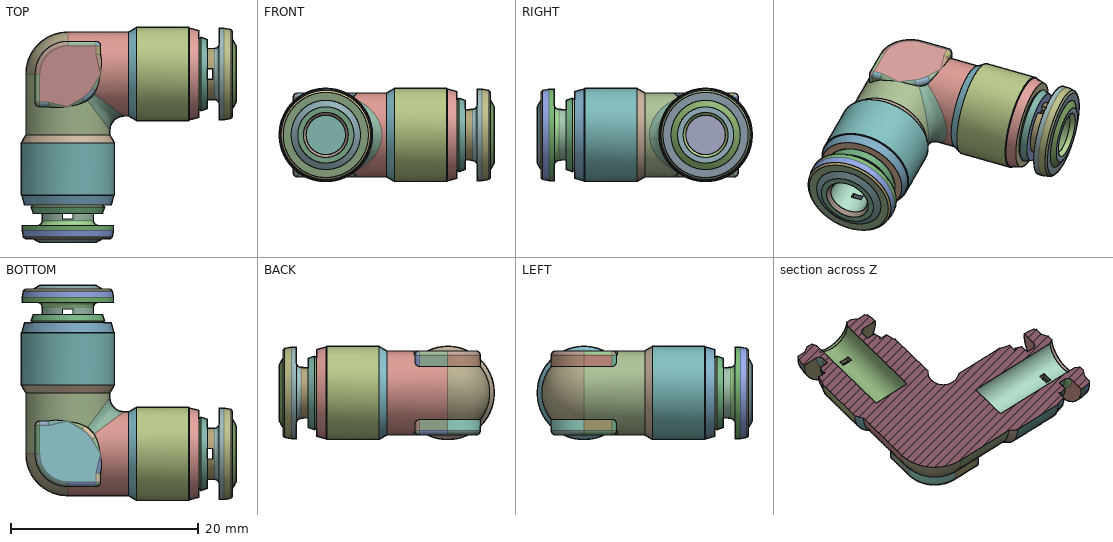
import cadquery as cq
import math

tube_radius = 4.5
inner_fillet = 1.5

sleeve_radius = 5.0
sleeve_cone_start = 6.5
sleeve_start = 7.35
sleeve_end = 12.9
sleeve_lip = 0.08
cap_end = 14.0
cap_end_radius = 4.65

collar_root_radius = 3.75
collar_radius = 3.95
collar_start = 14.2
collar_end = 14.9
collar_end_radius = 3.7

neck_radius = 2.75
neck_fillet = 0.5
flange_start = 16.15
flange_radius = 4.9
flange_taper_start = 16.7
flange_taper_end = 17.4
flange_taper_radius = 4.77
flange_end = 17.6
flange_face_radius = 4.55
nose_root_radius = 3.7
nose_radius = 3.0
port_end = 18.0

bore_radius = 2.1
bore_mouth_radius = 2.4
bore_mouth_depth = 0.5
bore_bottom = sleeve_start
slot_width = 1.1
slot_length = 0.55

pad_half = 3.5
pad_edge_fillet = 0.5


def make_port():
    """Solid of revolution about X, from the elbow centre to the release ring."""
    profile = (
        cq.Workplane("XY")
        .moveTo(0, 0)
        .lineTo(0, tube_radius)
        .lineTo(sleeve_cone_start, tube_radius)
        .lineTo(sleeve_start, sleeve_radius)
        .lineTo(sleeve_end, sleeve_radius)
        .lineTo(sleeve_end + sleeve_lip, sleeve_radius - sleeve_lip)
        .lineTo(cap_end, cap_end_radius)
        .lineTo(cap_end, collar_root_radius)
        .lineTo(collar_start, collar_radius)
        .lineTo(collar_end, collar_end_radius)
        .lineTo(collar_end, neck_radius)
        .lineTo(flange_start - neck_fillet, neck_radius)
        .radiusArc((flange_start, neck_radius + neck_fillet), -neck_fillet)
        .lineTo(flange_start, flange_radius)
        .lineTo(flange_taper_start, flange_radius)
        .lineTo(flange_taper_end, flange_taper_radius)
        .lineTo(flange_end, flange_face_radius)
        .lineTo(flange_end, nose_root_radius)
        .lineTo(port_end, nose_radius)
        .lineTo(port_end, 0)
        .close()
    )
    return profile.revolve(360, (0, 0, 0), (1, 0, 0))


def make_port_cut():
    """Blind bore with a chamfered mouth, and a slot through the top and bottom of the neck."""
    bore = (
        cq.Workplane("XY")
        .moveTo(bore_bottom, 0)
        .lineTo(bore_bottom, bore_radius)
        .lineTo(port_end - bore_mouth_depth, bore_radius)
        .lineTo(port_end, bore_mouth_radius)
        .lineTo(port_end, 0)
        .close()
        .revolve(360, (0, 0, 0), (1, 0, 0))
    )
    slot = cq.Workplane("XY").box(
        slot_length, slot_width, 2 * neck_radius, centered=(False, True, True)
    )
    return bore.union(slot.translate((collar_end, 0, 0)))


def make_inner_fillet():
    """Rolling-ball fillet along the crease where the two arms meet.

    A ball touching both arms has its centre on an ellipse in the diagonal plane, and its
    contact curves lie in two vertical planes through the Z axis.
    """
    ball_path_radius = tube_radius + inner_fillet
    contact_near = tube_radius
    contact_far = ball_path_radius

    wedge = (
        cq.Workplane("XY")
        .polyline([(0, 0), (contact_far, -contact_near), (contact_near, -contact_far)])
        .close()
        .extrude(tube_radius, both=True)
    )
    diagonal = cq.Plane(origin=(0, 0, 0), xDir=(1, -1, 0), normal=(1, 1, 0))
    contact_reach = (contact_near + contact_far) / math.sqrt(2)
    contact_limit = (
        cq.Workplane(diagonal)
        .ellipse(contact_reach, tube_radius)
        .extrude(contact_far, both=True)
    )
    ball_path = cq.Workplane(diagonal).ellipseArc(
        ball_path_radius * math.sqrt(2), ball_path_radius, -90, 90, startAtCurrent=False
    )
    path_start = cq.Plane(origin=(0, 0, -ball_path_radius), xDir=(1, 1, 0), normal=(1, -1, 0))
    ball_sweep = cq.Workplane(path_start).circle(inner_fillet).sweep(ball_path)
    return wedge.intersect(contact_limit).cut(ball_sweep)


def make_pads():
    """Rounded block whose ends stand proud of the arms as the two pads.

    The flat face narrows the edge rounding to nothing at the crown line of each arm, so its
    outline has a point there. Growing it outward by the rounding radius gives the block.
    """
    flat_half = pad_half - pad_edge_fillet
    taper_width = math.sqrt(tube_radius**2 - (tube_radius - pad_edge_fillet) ** 2)
    tangent_angle = math.acos(flat_half / pad_half)
    tangent_long = flat_half * math.cos(tangent_angle)
    tangent_short = flat_half * math.sin(tangent_angle)
    return (
        cq.Workplane("XY")
        .workplane(offset=-tube_radius)
        .moveTo(0, flat_half)
        .lineTo(flat_half, flat_half)
        .lineTo(flat_half, taper_width)
        .lineTo(pad_half, 0)
        .lineTo(tangent_long, -tangent_short)
        .radiusArc((tangent_short, -tangent_long), flat_half)
        .lineTo(0, -pad_half)
        .lineTo(-taper_width, -flat_half)
        .lineTo(-flat_half, -flat_half)
        .lineTo(-flat_half, 0)
        .radiusArc((0, flat_half), flat_half)
        .close()
        .offset2D(pad_edge_fillet)
        .extrude(2 * tube_radius)
        .faces("|Z")
        .edges()
        .fillet(pad_edge_fillet)
    )


def turn_to_second_arm(shape):
    """Copy of a +X arm feature turned onto the -Y arm."""
    return shape.rotate((0, 0, 0), (0, 0, 1), -90)


port = make_port()
port_cut = make_port_cut()

body = port.union(turn_to_second_arm(port))
body = body.union(cq.Workplane("XY").sphere(tube_radius))
body = body.union(make_inner_fillet())
body = body.union(make_pads())
result = body.cut(port_cut).cut(turn_to_second_arm(port_cut))